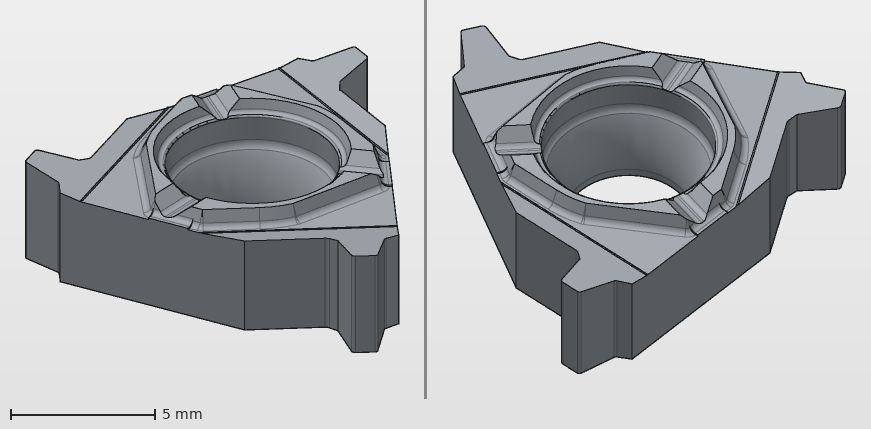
import cadquery as cq
import math

TOOTH_COUNT = 3
STEP_ANGLE = 360.0 / TOOTH_COUNT
TOOTH_NORMAL = 90.0
SIDE_NORMAL = 180.0
NEXT_SIDE_NORMAL = SIDE_NORMAL - STEP_ANGLE
INSCRIBED_RADIUS = 4.7625
SEAT_HEIGHT = 3.5
TOTAL_HEIGHT = 4.1

TOOTH_TIP_Y = 6.88
TIP_LEFT_X = -3.90
TIP_RIGHT_X = -3.03
SHOULDER_Y = 5.15
CORNER_Y = 5.09
FLANK_LEFT = (-4.25, 5.39)
FLANK_RIGHT = (-2.62, 5.42)
ROOT_X = -2.27
TIP_LEFT_RADIUS = 0.1
TIP_RIGHT_RADIUS = 0.15
FLANK_LEFT_RADIUS = 0.12
ROOT_RADIUS = 0.25

RAKE_START = 4.30
RAKE_ANGLE = 10.0
RAKE_BLEND_RADIUS = 0.34
RAKE_OVERRUN = 0.5
RAKE_END = TOOTH_TIP_Y + RAKE_OVERRUN
FLOOR_RADIUS = 10.0
MATCH_TOLERANCE = 0.01

BOSS_FRONT = 3.72
BOSS_SLANT = 3.62
BOSS_SIDE = 4.21
SLANT_NORMAL = 121.9
BOSS_TAPER = 24.0
BOSS_FOOT_RADIUS = 0.28

LEDGE_HEIGHT = 0.06
LEDGE_Y = (0.14, 1.68)

GROOVE_ANGLE = 46.0
GROOVE_FLOOR = 3.6
GROOVE_FLANK_ANGLE = 42.0
GROOVE_RADIUS = 0.36
GROOVE_FLAT_WIDTH = 0.09
GROOVE_START = 2.6
GROOVE_END = 5.5
GROOVE_CLEARANCE = 1.0

HOLE_RADIUS = 2.2
BOWL_BOTTOM = 0.3
BOWL_TOP = (2.87, 2.36)
BORE_RADIUS = 3.03
BORE_BOTTOM = 2.67
BORE_BLEND_MIDDLE = (2.98, 2.49)
BORE_EDGE_RADIUS = 0.07
LIP_HEIGHT = 3.65
RECESS_FOOT = (3.29, 3.76)
RECESS_BLEND_MIDDLE = (3.22, 3.68)
RECESS_RADIUS = 3.44


def polar(radius, angle):
    a = math.radians(angle)
    return (radius * math.cos(a), radius * math.sin(a))


def rotated(point, angle):
    x, y = point
    return polar(math.hypot(x, y), math.degrees(math.atan2(y, x)) + angle)


def line_crossing(distance_1, angle_1, distance_2, angle_2):
    """Crossing of two lines given by their distances from the axis and normal directions."""
    a, b = math.radians(angle_1), math.radians(angle_2)
    det = math.sin(b - a)
    x = (distance_1 * math.sin(b) - distance_2 * math.sin(a)) / det
    y = (distance_2 * math.cos(a) - distance_1 * math.cos(b)) / det
    return (x, y)


def around(solid):
    """The solid together with its copies in front of the other teeth."""
    copies = solid
    for i in range(1, TOOTH_COUNT):
        copies = copies.union(solid.rotate((0, 0, 0), (0, 0, 1), i * STEP_ANGLE))
    return copies


def round_corner(prism, corner, radius):
    """Round the upright edges of the prism that lie as far from the axis as the corner does."""
    target = math.hypot(*corner)
    edges = prism.edges("|Z").filter(
        lambda edge: abs(math.hypot(edge.Center().x, edge.Center().y) - target) < MATCH_TOLERANCE
    )
    return edges.fillet(radius)


def make_blank():
    shoulder_end = line_crossing(SHOULDER_Y, TOOTH_NORMAL, INSCRIBED_RADIUS, NEXT_SIDE_NORMAL)
    root = (ROOT_X, SHOULDER_Y)
    tip_left = (TIP_LEFT_X, TOOTH_TIP_Y)
    tip_right = (TIP_RIGHT_X, TOOTH_TIP_Y)
    tooth = [
        shoulder_end,
        root,
        FLANK_RIGHT,
        tip_right,
        tip_left,
        FLANK_LEFT,
        (-INSCRIBED_RADIUS, CORNER_Y),
    ]
    points = [rotated(p, i * STEP_ANGLE) for i in range(TOOTH_COUNT) for p in tooth]
    blank = cq.Workplane("XY").polyline(points).close().extrude(TOTAL_HEIGHT)

    blank = round_corner(blank, tip_left, TIP_LEFT_RADIUS)
    blank = round_corner(blank, tip_right, TIP_RIGHT_RADIUS)
    blank = round_corner(blank, FLANK_LEFT, FLANK_LEFT_RADIUS)
    return round_corner(blank, root, ROOT_RADIUS)


def make_rake_wedge():
    """Ramp whose top is the rake face of the +Y tooth, blended into the floor."""
    slope = math.radians(RAKE_ANGLE)
    blend = RAKE_BLEND_RADIUS * math.tan(slope / 2)
    rise = (RAKE_END - RAKE_START) * math.tan(slope)
    blend_end = (RAKE_START + blend * math.cos(slope), SEAT_HEIGHT + blend * math.sin(slope))
    return (
        cq.Workplane("YZ")
        .moveTo(RAKE_START - blend, 0)
        .lineTo(RAKE_START - blend, SEAT_HEIGHT)
        .tangentArcPoint(blend_end, relative=False)
        .lineTo(RAKE_END, SEAT_HEIGHT + rise)
        .lineTo(RAKE_END, 0)
        .close()
        .extrude(2 * INSCRIBED_RADIUS, both=True)
    )


def make_boss_outline():
    arc_end = SLANT_NORMAL - math.degrees(math.acos(BOSS_SLANT / BOSS_FRONT))
    arc_middle = (TOOTH_NORMAL + arc_end) / 2
    front_corner = line_crossing(BOSS_FRONT, TOOTH_NORMAL, BOSS_SIDE, NEXT_SIDE_NORMAL)
    slant_corner = line_crossing(BOSS_SLANT, SLANT_NORMAL, BOSS_SIDE, SIDE_NORMAL)
    outline = cq.Workplane("XY", origin=(0, 0, TOTAL_HEIGHT)).moveTo(*front_corner)
    for i in range(TOOTH_COUNT):
        turn = i * STEP_ANGLE
        if i > 0:
            outline = outline.lineTo(*rotated(front_corner, turn))
        outline = outline.lineTo(*polar(BOSS_FRONT, TOOTH_NORMAL + turn))
        outline = outline.threePointArc(
            polar(BOSS_FRONT, arc_middle + turn), polar(BOSS_FRONT, arc_end + turn)
        )
        outline = outline.lineTo(*rotated(slant_corner, turn))
    return outline.close()


def make_floor_with_boss(floor_height):
    """Tapered boss rising from an oversized round floor, with a rounded foot."""
    floor = cq.Workplane("XY").circle(FLOOR_RADIUS).extrude(floor_height)
    boss = make_boss_outline().extrude(floor_height - TOTAL_HEIGHT, taper=-BOSS_TAPER)
    joined = floor.union(boss)
    foot_zone = cq.selectors.BoxSelector(
        (-FLOOR_RADIUS, -FLOOR_RADIUS, floor_height - MATCH_TOLERANCE),
        (FLOOR_RADIUS, FLOOR_RADIUS, floor_height + MATCH_TOLERANCE),
    )
    foot = joined.edges(foot_zone).filter(lambda edge: edge.Length() < FLOOR_RADIUS)
    return foot.fillet(BOSS_FOOT_RADIUS)


def make_ledge():
    """Raised strip of floor along the -X side face, with its own rounded boss foot."""
    y_start, y_end = LEDGE_Y
    width = INSCRIBED_RADIUS - BOSS_SIDE
    strip = (
        cq.Workplane("XY")
        .box(width, y_end - y_start, TOTAL_HEIGHT, centered=False)
        .translate((-INSCRIBED_RADIUS, y_start, 0))
    )
    return make_floor_with_boss(SEAT_HEIGHT + LEDGE_HEIGHT).intersect(strip)


def make_groove():
    """Cutter for one V groove with a narrow flat floor and rounded floor edges."""
    slope = math.radians(GROOVE_FLANK_ANGLE)
    flat_y = GROOVE_FLAT_WIDTH / 2
    tangent_y = flat_y + GROOVE_RADIUS * math.sin(slope)
    tangent_z = GROOVE_FLOOR + GROOVE_RADIUS * (1 - math.cos(slope))
    top_z = TOTAL_HEIGHT + GROOVE_CLEARANCE
    top_y = tangent_y + (top_z - tangent_z) / math.tan(slope)
    cutter = (
        cq.Workplane("YZ", origin=(GROOVE_START, 0, 0))
        .moveTo(-top_y, top_z)
        .lineTo(-tangent_y, tangent_z)
        .tangentArcPoint((-flat_y, GROOVE_FLOOR), relative=False)
        .lineTo(flat_y, GROOVE_FLOOR)
        .tangentArcPoint((tangent_y, tangent_z), relative=False)
        .lineTo(top_y, top_z)
        .close()
        .extrude(GROOVE_END - GROOVE_START)
    )
    return cutter.rotate((0, 0, 0), (0, 0, 1), GROOVE_ANGLE)


def make_screw_hole():
    """Revolved cutter: hole, flared bowl, cylindrical bore and a shallow rounded recess."""
    bowl_radius, bowl_top = BOWL_TOP
    return (
        cq.Workplane("XZ")
        .lineTo(HOLE_RADIUS, 0)
        .lineTo(HOLE_RADIUS, BOWL_BOTTOM)
        .tangentArcPoint((bowl_radius, bowl_top), relative=False)
        .threePointArc(BORE_BLEND_MIDDLE, (BORE_RADIUS, BORE_BOTTOM))
        .lineTo(BORE_RADIUS, LIP_HEIGHT - BORE_EDGE_RADIUS)
        .tangentArcPoint((BORE_RADIUS + BORE_EDGE_RADIUS, LIP_HEIGHT), relative=False)
        .threePointArc(RECESS_BLEND_MIDDLE, RECESS_FOOT)
        .lineTo(RECESS_RADIUS, TOTAL_HEIGHT)
        .lineTo(0, TOTAL_HEIGHT)
        .close()
        .revolve(360, (0, 0, 0), (0, 1, 0))
    )


blank = make_blank()
body = make_floor_with_boss(SEAT_HEIGHT)
body = body.union(around(make_rake_wedge()))
body = body.intersect(blank)
body = body.union(around(make_ledge()))
body = body.cut(around(make_groove()))
result = body.cut(make_screw_hole())